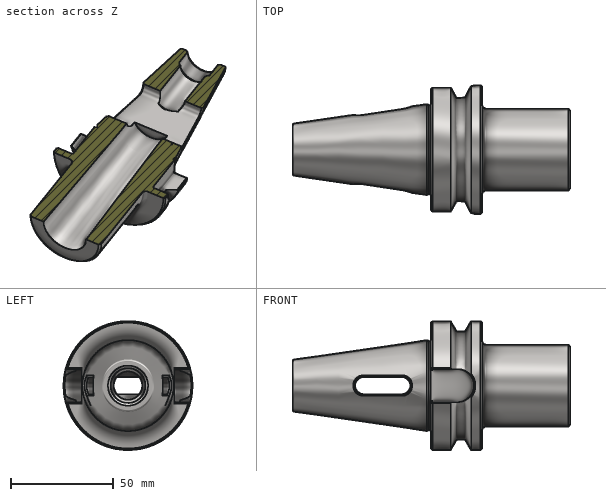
import cadquery as cq
import math


GAUGE_DIA = 44.45
TAPER_RATIO = 7 / 24
TAPER_LENGTH = 65.4
TAPER_END_FILLET = 1.0

NECK_DIA = 43.4
NECK_CHAMFER_LENGTH = 0.9
NECK_FILLET = 0.8

FLANGE_START = 2.0
FLANGE_END = 27.0
FLANGE_DIA = 63.0
FLANGE_CHAMFER = 0.8
GROOVE_CENTER = 16.6
GROOVE_WIDTH = 10.0
GROOVE_DIA = 53.0
GROOVE_FLANK_ANGLE = 30.0
GROOVE_CORNER_FILLET = 0.5

NOSE_END = 70.0
NOSE_DIA = 40.0
NOSE_FILLET = 2.0
NOSE_CHAMFER = 1.0

KEYWAY_WIDTH = 16.1
KEYWAY_END = 23.05
KEYWAY_FLOOR = 22.6
KEYWAY_FLOOR_FILLET = 0.6
KEYWAY_EDGE_CHAMFER = 0.7

PILOT_DIA = 17.0
PILOT_DEPTH = 9.0
PILOT_MOUTH_DIA = 19.6
THREAD_DIA = 13.84
MOUTH_HALF_ANGLE = 60.0
PILOT_STEP_HALF_ANGLE = 45.0
DRILL_HALF_ANGLE = 59.0

TANG_SLOT_WIDTH = 8.3
TANG_SLOT_LENGTH = 27.0
TANG_SLOT_TO_FACE = 78.0
TANG_SLOT_EDGE_CHAMFER = 0.9

SOCKET_MOUTH_DIA = 23.825
SOCKET_RELIEF_DIA = 20.2
SOCKET_TAPER = 1 / 19.922
SOCKET_DEPTH = 84.0

PICK_MARGIN = 0.1

taper_start = -TAPER_LENGTH
gauge_radius = GAUGE_DIA / 2
taper_end_radius = gauge_radius - TAPER_LENGTH * TAPER_RATIO / 2
flange_radius = FLANGE_DIA / 2
tang_slot_end = NOSE_END - TANG_SLOT_TO_FACE
tang_slot_start = tang_slot_end - TANG_SLOT_LENGTH


def revolve_about_x(profile):
    """Turn a closed (x, radius) profile around the X axis."""
    return profile.close().revolve(360, (0, 0, 0), (1, 0, 0))


def edges_in_box(shape, low, high):
    """Select the edges that lie wholly inside a box given by two corners."""
    return shape.edges(cq.selectors.BoxSelector(low, high, boundingbox=True))


def round_corner(body, x, radius, fillet):
    """Round the turned corner at axial place x and the given radius."""
    reach = radius + PICK_MARGIN
    low = (x - PICK_MARGIN, -reach, -reach)
    high = (x + PICK_MARGIN, reach, reach)
    return edges_in_box(body, low, high).fillet(fillet)


def turned_body():
    """Taper, neck, grooved flange and nose as one turned blank."""
    groove_radius = GROOVE_DIA / 2
    flank_run = (flange_radius - groove_radius) * math.tan(math.radians(GROOVE_FLANK_ANGLE))
    groove_start = GROOVE_CENTER - GROOVE_WIDTH / 2
    groove_end = GROOVE_CENTER + GROOVE_WIDTH / 2
    taper_angle = math.atan(TAPER_RATIO / 2)
    tangent_length = TAPER_END_FILLET * math.tan(math.pi / 4 - taper_angle / 2)
    fillet_end = (
        taper_start + tangent_length * math.cos(taper_angle),
        taper_end_radius + tangent_length * math.sin(taper_angle),
    )
    nose_radius = NOSE_DIA / 2
    profile = (
        cq.Workplane("XY")
        .moveTo(taper_start, 0)
        .lineTo(taper_start, taper_end_radius - tangent_length)
        .radiusArc(fillet_end, TAPER_END_FILLET)
        .lineTo(0, gauge_radius)
        .lineTo(NECK_CHAMFER_LENGTH, NECK_DIA / 2)
        .lineTo(FLANGE_START, NECK_DIA / 2)
        .lineTo(FLANGE_START, flange_radius - FLANGE_CHAMFER)
        .lineTo(FLANGE_START + FLANGE_CHAMFER, flange_radius)
        .lineTo(groove_start, flange_radius)
        .lineTo(groove_start + flank_run, groove_radius)
        .lineTo(groove_end - flank_run, groove_radius)
        .lineTo(groove_end, flange_radius)
        .lineTo(FLANGE_END - FLANGE_CHAMFER, flange_radius)
        .lineTo(FLANGE_END, flange_radius - FLANGE_CHAMFER)
        .lineTo(FLANGE_END, nose_radius + NOSE_FILLET)
        .radiusArc((FLANGE_END + NOSE_FILLET, nose_radius), -NOSE_FILLET)
        .lineTo(NOSE_END - NOSE_CHAMFER, nose_radius)
        .lineTo(NOSE_END, nose_radius - NOSE_CHAMFER)
        .lineTo(NOSE_END, 0)
    )
    body = revolve_about_x(profile)
    body = round_corner(body, FLANGE_START, NECK_DIA / 2, NECK_FILLET)
    body = round_corner(body, groove_start + flank_run, groove_radius, GROOVE_CORNER_FILLET)
    return round_corner(body, groove_end - flank_run, groove_radius, GROOVE_CORNER_FILLET)


def keyway_cutter(side):
    """Round-ended keyway open to the taper side; side is -1 or +1 along Y."""
    half_width = KEYWAY_WIDTH / 2
    height = FLANGE_DIA / 2
    outline = (
        cq.Workplane("XZ", origin=(0, side * KEYWAY_FLOOR, 0))
        .moveTo(-half_width, -half_width)
        .lineTo(KEYWAY_END - half_width, -half_width)
        .threePointArc((KEYWAY_END, 0), (KEYWAY_END - half_width, half_width))
        .lineTo(-half_width, half_width)
        .close()
    )
    cutter = outline.extrude(-side * height)
    floor_face = "<Y" if side > 0 else ">Y"
    return cutter.faces(floor_face).edges().fillet(KEYWAY_FLOOR_FILLET)


def keyway_front_chamfer_cutter(side):
    """Widens the keyway mouth at the front face of the flange."""
    half_width = KEYWAY_WIDTH / 2
    mouth = half_width + KEYWAY_EDGE_CHAMFER
    return (
        cq.Workplane("XZ", origin=(0, side * KEYWAY_FLOOR, 0))
        .moveTo(FLANGE_START, -mouth)
        .lineTo(FLANGE_START + KEYWAY_EDGE_CHAMFER, -half_width)
        .lineTo(FLANGE_START + KEYWAY_EDGE_CHAMFER, half_width)
        .lineTo(FLANGE_START, mouth)
        .close()
        .extrude(-side * FLANGE_DIA)
    )


def pull_stud_bore():
    """Countersunk pilot, thread bore and drill point in the small end."""
    mouth_slope = math.tan(math.radians(MOUTH_HALF_ANGLE))
    step_slope = math.tan(math.radians(PILOT_STEP_HALF_ANGLE))
    drill_slope = math.tan(math.radians(DRILL_HALF_ANGLE))
    pilot_radius = PILOT_DIA / 2
    thread_radius = THREAD_DIA / 2
    mouth_radius = PILOT_MOUTH_DIA / 2
    pilot_end = taper_start + PILOT_DEPTH
    thread_end = tang_slot_start + TANG_SLOT_WIDTH / 2
    profile = (
        cq.Workplane("XY")
        .moveTo(taper_start, 0)
        .lineTo(taper_start, mouth_radius)
        .lineTo(taper_start + (mouth_radius - pilot_radius) / mouth_slope, pilot_radius)
        .lineTo(pilot_end, pilot_radius)
        .lineTo(pilot_end + (pilot_radius - thread_radius) / step_slope, thread_radius)
        .lineTo(thread_end, thread_radius)
        .lineTo(thread_end + thread_radius / drill_slope, 0)
    )
    return revolve_about_x(profile)


def morse_socket():
    """Morse taper that runs into a plain relief bore."""
    relief_radius = SOCKET_RELIEF_DIA / 2
    taper_depth = (SOCKET_MOUTH_DIA - SOCKET_RELIEF_DIA) / SOCKET_TAPER
    bottom = NOSE_END - SOCKET_DEPTH
    profile = (
        cq.Workplane("XY")
        .moveTo(NOSE_END, 0)
        .lineTo(NOSE_END, SOCKET_MOUTH_DIA / 2)
        .lineTo(NOSE_END - taper_depth, relief_radius)
        .lineTo(bottom, relief_radius)
        .lineTo(bottom, 0)
    )
    return revolve_about_x(profile)


def tang_slot():
    """Round-ended slot through the taper along Y."""
    return (
        cq.Workplane("XZ")
        .center((tang_slot_start + tang_slot_end) / 2, 0)
        .slot2D(TANG_SLOT_LENGTH, TANG_SLOT_WIDTH)
        .extrude(GAUGE_DIA, both=True)
    )


def cut_tang_slot(body):
    """Cut the tang slot and chamfer its two rims."""
    slotted = body.cut(tang_slot())
    rims = edges_in_box(
        slotted,
        (tang_slot_start - PICK_MARGIN, -GAUGE_DIA, -TANG_SLOT_WIDTH),
        (tang_slot_end + PICK_MARGIN, GAUGE_DIA, TANG_SLOT_WIDTH),
    )
    return rims.edges("not |Y").chamfer(TANG_SLOT_EDGE_CHAMFER)


def cut_keyway(body, side):
    """Cut one keyway and chamfer its edges on the rim and front face of the flange."""
    slotted = body.cut(keyway_cutter(side))
    reach = KEYWAY_WIDTH / 2 + PICK_MARGIN
    rim_low = math.sqrt(flange_radius**2 - reach**2) - PICK_MARGIN
    rim_near, rim_far = sorted((side * rim_low, side * (flange_radius + PICK_MARGIN)))
    rim_edges = edges_in_box(
        slotted,
        (FLANGE_START + FLANGE_CHAMFER - PICK_MARGIN, rim_near, -reach),
        (KEYWAY_END + PICK_MARGIN, rim_far, reach),
    )
    return rim_edges.chamfer(KEYWAY_EDGE_CHAMFER).cut(keyway_front_chamfer_cutter(side))


result = cut_tang_slot(turned_body())
for keyway_side in (-1, 1):
    result = cut_keyway(result, keyway_side)
result = result.cut(pull_stud_bore()).cut(morse_socket())